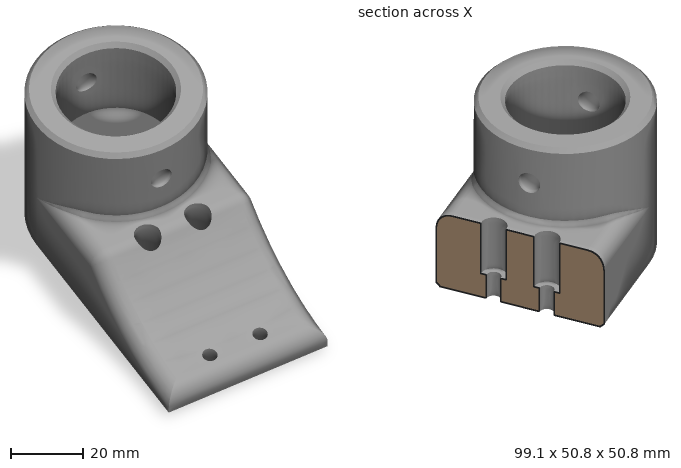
import cadquery as cq
import math

overall_length = 99.1
socket_diameter = 50.8
socket_height = 50.8
bore_diameter = 33.5
edge_chamfer = 1.3
foot_rounding = 5.0
foot_tip_thickness = 8.1
slope_radius = 58.1
cross_hole_diameter = 6.5
screw_hole_diameter = 4.3
screw_head_diameter = 7.6
rear_screw_x = 31.6
screw_spacing_x = 34.7
screw_spacing_y = 16.0

socket_radius = socket_diameter / 2
foot_end_x = overall_length - socket_radius
foot_height = socket_height / 2
bore_depth = socket_height - foot_height
cross_hole_z = socket_height - bore_depth / 2
screw_head_floor_z = foot_tip_thickness

slope_angle = math.acos(1 - (foot_height - foot_tip_thickness) / slope_radius)
slope_start_x = foot_end_x - slope_radius * math.sin(slope_angle)
slope_middle = (
    foot_end_x - slope_radius * math.sin(slope_angle / 2),
    foot_tip_thickness + slope_radius * (1 - math.cos(slope_angle / 2)),
)

joint_radius = socket_radius + edge_chamfer
rounding_axis_y = socket_radius - foot_rounding
rounding_axis_z = foot_height - foot_rounding
joint_sink = 1.003
joint_overlap = 1.2
joint_steps = 16


def make_foot():
    """Foot with a flat top, a hollow slope to the tip and rounded upper edges."""
    foot = (
        cq.Workplane("XZ")
        .moveTo(0, 0)
        .lineTo(foot_end_x, 0)
        .lineTo(foot_end_x, foot_tip_thickness)
        .threePointArc(slope_middle, (slope_start_x, foot_height))
        .lineTo(0, foot_height)
        .close()
        .extrude(socket_radius, both=True)
    )
    upper_edges = (
        foot.faces(">Z").edges("not <X")
        .add(foot.faces(">X").edges(">Z"))
        .add(foot.edges("%CIRCLE"))
    )
    return foot.newObject(upper_edges.vals()).fillet(foot_rounding)


def joint_centre(roll):
    """Centre of a ball touching socket and foot; roll runs from 0 on top to 90 degrees at the side."""
    y = rounding_axis_y + (foot_rounding + edge_chamfer) * math.sin(roll)
    z = rounding_axis_z + (foot_rounding + edge_chamfer) * math.cos(roll)
    x = math.sqrt(max(joint_radius**2 - y**2, 0))
    return cq.Vector(x, y, z)


def to_socket(centre):
    """Step from a ball centre to its touching point on the socket wall."""
    return cq.Vector(centre.x, centre.y, 0).normalized() * -edge_chamfer


def to_foot(roll):
    """Step from a ball centre to its touching point on the foot's rounded edge."""
    return cq.Vector(0, -math.sin(roll), -math.cos(roll)) * edge_chamfer


def joint_corners(roll):
    """Corners of the joint chamfer's section: on the socket, on the foot and buried in both."""
    centre = joint_centre(roll)
    socket_step = to_socket(centre)
    foot_step = to_foot(roll)
    buried = centre + (socket_step + foot_step) * joint_overlap
    return centre + socket_step * joint_sink, centre + foot_step * joint_sink, buried


def make_side_joint():
    """Joint chamfer over the +Y rounded edge, narrowing to nothing at the foot's side."""
    rolls = [math.pi / 2 * step / joint_steps for step in range(joint_steps + 1)]
    sections = [joint_corners(roll) for roll in rolls]
    wall_edge, foot_edge, buried_edge = (
        cq.Edge.makeSpline(list(points)) for points in zip(*sections)
    )
    start = cq.Wire.makePolygon(list(sections[0]), close=True)
    faces = [
        cq.Face.makeRuledSurface(wall_edge, foot_edge),
        cq.Face.makeRuledSurface(foot_edge, buried_edge),
        cq.Face.makeRuledSurface(buried_edge, wall_edge),
        cq.Face.makeFromWires(start),
    ]
    return cq.Workplane(cq.Solid.makeSolid(cq.Shell.makeShell(faces)))


def make_top_joint():
    """Joint chamfer over the foot's flat top: a conical band around the socket."""
    wall, foot, buried = joint_corners(0)
    sweep = 2 * math.degrees(math.asin(rounding_axis_y / joint_radius))
    section = [(math.hypot(corner.x, corner.y), corner.z) for corner in (wall, foot, buried)]
    return (
        cq.Workplane("XZ")
        .polyline(section)
        .close()
        .revolve(sweep, (0, 0), (0, 1))
        .rotate((0, 0, 0), (0, 0, 1), -sweep / 2)
    )


def make_body():
    """Socket and foot in one, chamfered at the joint, the base and the rim."""
    socket = cq.Workplane("XY").circle(socket_radius).extrude(socket_height)
    side_joint = make_side_joint()
    body = (
        socket.union(make_foot())
        .union(make_top_joint())
        .union(side_joint)
        .union(side_joint.mirror("XZ"))
    )
    body = body.faces("<Z").edges().chamfer(edge_chamfer)
    return body.faces(">Z").edges().chamfer(edge_chamfer)


def make_bore():
    """Blind socket bore, widened by a chamfer at the rim."""
    bore = cq.Workplane("XY").workplane(offset=foot_height).circle(bore_diameter / 2).extrude(bore_depth)
    mouth = (
        cq.Workplane("XY")
        .workplane(offset=socket_height)
        .circle(bore_diameter / 2 + edge_chamfer)
        .workplane(offset=-edge_chamfer)
        .circle(bore_diameter / 2)
        .loft(ruled=True)
    )
    return bore.union(mouth)


def make_cross_hole():
    """Hole along X through both walls of the socket."""
    return (
        cq.Workplane("YZ")
        .center(0, cross_hole_z)
        .circle(cross_hole_diameter / 2)
        .extrude(socket_diameter, both=True)
    )


def make_screw_holes():
    """Four holes through the foot, the two nearest the socket counterbored."""
    front_screw_x = rear_screw_x + screw_spacing_x
    holes = cq.Workplane("XY")
    for side in (-1, 1):
        y = side * screw_spacing_y / 2
        for x in (rear_screw_x, front_screw_x):
            holes = holes.union(
                cq.Workplane("XY").center(x, y).circle(screw_hole_diameter / 2).extrude(foot_height)
            )
        holes = holes.union(
            cq.Workplane("XY")
            .workplane(offset=screw_head_floor_z)
            .center(rear_screw_x, y)
            .circle(screw_head_diameter / 2)
            .extrude(foot_height)
        )
    return holes


result = make_body().cut(make_bore()).cut(make_cross_hole()).cut(make_screw_holes())